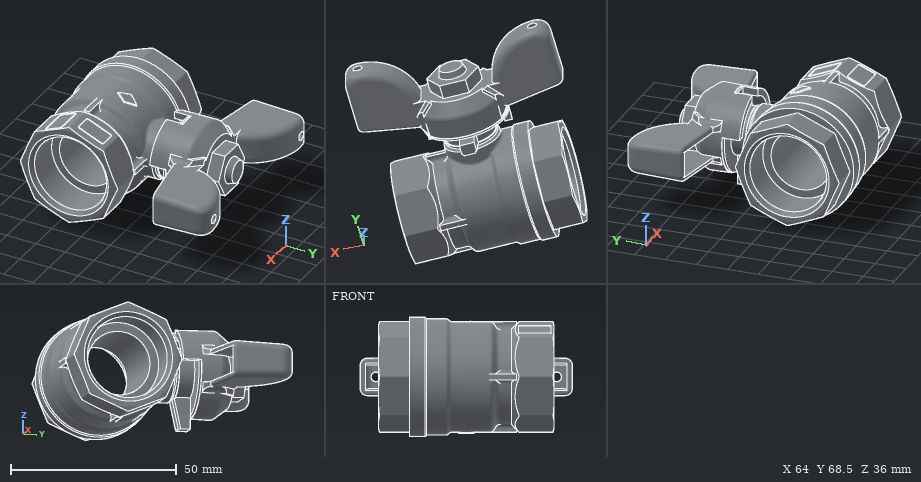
import cadquery as cq
import math


TOLERANCE = 0.001

BODY_END = 26.5
BODY_RADIUS = 16.7
OCTAGON_WIDTH = 31.0
FLAT_ANGLE = 360 / 16
OCTAGON_RADIUS = OCTAGON_WIDTH / 2 / math.cos(math.radians(FLAT_ANGLE))
OCTAGON_EDGE_FILLET = 0.7
OCTAGON_END_RADIUS = 15.4
OCTAGON_END_CHAMFER = 0.7
FLANGE_RADIUS = 18.0
FLANGE_START = -17.1
FLANGE_END = -12.4
COLLAR_RADIUS = 17.55
COLLAR_START = -11.9
COLLAR_END = -6.2
BARREL_START = -4.3

WAIST_RADIUS = 14.4
WAIST_START = 7.0
WAIST_FLOOR_START = 10.3
WAIST_FLOOR_END = 13.6
WAIST_END = 16.0
RIB_WIDTH = 1.8
RIB_FOOT_RADIUS = 1.5
RIB_COUNT = 4
RIB_END = 15.2

LEVEL_ENDS = [(1, 0), (1, 0)]

BORE_RADIUS = 9.7
PORT_RADIUS = 12.4
PORT_DEPTH = 12.0
PORT_MOUTH_RADIUS = 13.7
PORT_MOUTH_DEPTH = 1.3

PANEL_DEPTH = 0.2
PANEL_CORNER = 0.5
PLAIN_PANEL_ANGLE = FLAT_ANGLE
PLAIN_PANEL_X = 20.6
PLAIN_PANEL_LENGTH = 9.8
PLAIN_PANEL_WIDTH = 6.0
SIZE_PANEL_ANGLE = -FLAT_ANGLE
SIZE_PANEL_X = 20.65
SIZE_PANEL_LENGTH = 5.7
SIZE_PANEL_WIDTH = 9.2
DIAMOND_LENGTH = 4.5
DIAMOND_WIDTH = 7.0
DIAMOND_X = 1.35
DIAMOND_HEIGHT = 0.4

NECK_RADIUS = 8.85
NECK_SHOULDER = 19.0
NECK_TIP_RADIUS = 8.2
NECK_BASE = 12.0
NECK_FILLET = 0.8
NECK_SHOULDER_HEIGHT = 0.7

HUB_RADIUS = 13.5
HUB_TOP_RADIUS = 10.2
HUB_BOTTOM = 26.1
HUB_CONE_START = 32.8
HUB_TOP = 37.1
HUB_SHOULDER_FILLET = 1.5
SKIRT_RADIUS = 13.25
SKIRT_INNER_RADIUS = 11.0
SKIRT_BOTTOM = 20.5
SKIRT_EDGE_Z = 2.5
SKIRT_SLOT_WIDTH = 5.0
DISC_RADIUS = 13.1
BOSS_RADIUS = 7.8

TAB_TOP = 25.3
TAB_TIP_Z = -17.05
TAB_TIP_BOTTOM = 21.7
TAB_ROOT_Z = -7.5
TAB_ROOT_BOTTOM = 19.6
TAB_WIDTH = 4.6
TAB_CHAMFER = 0.6

NUT_WIDTH = 14.0
NUT_TOP = 41.5
STEM_RADIUS = 4.3
STEM_TIP_RADIUS = 3.6
STEM_TIP = 43.6

TOP = 50.45
WING_X = 32.0
WING_CORNER = 4.1
WING_ROOT_X = 8.0
WING_ARC_END_X = 11.1
WING_ARC_X = 18.9
WING_ARC_Y = 48.0
WING_BOTTOM_OUTER = 31.85
WING_BOTTOM_SLOPE = 0.168
WING_HALF_BOTTOM = 5.7
WING_HALF_TOP = 5.1
WING_FILLET = 2.3
WING_RIM_FILLET = 0.9
WING_WALL = 1.6
WING_HOLE_RADIUS = 1.4
WING_HOLE_X = 27.25

ROOT_START_X = 11.3
ROOT_END_X = 14.6
ROOT_HALF_WIDTH = 7.3
ROOT_BOTTOM = 26.5
ROOT_FLARE_TOP = 29.0


def turned_x(points):
    """Solid of revolution about X from (x, radius) points; closes along the axis."""
    outline = [(points[0][0], 0)] + points + [(points[-1][0], 0)]
    return cq.Workplane("XY").polyline(outline).close().revolve(360, (0, 0), (1, 0))


def turned_y(points):
    """Solid of revolution about Y from (radius, y) points; closes along the axis."""
    outline = [(0, points[0][1])] + points + [(0, points[-1][1])]
    return cq.Workplane("XY").polyline(outline).close().revolve(360, (0, 0), (0, 1))


def octagon(start, end):
    """Octagonal bar along X with its corners on the Y and Z axes."""
    bar = cq.Workplane("YZ", origin=(start, 0, 0)).polygon(8, 2 * OCTAGON_RADIUS).extrude(end - start)
    return bar.edges("|X").fillet(OCTAGON_EDGE_FILLET)


def body_blank():
    ends = turned_x([
        (-BODY_END, OCTAGON_END_RADIUS),
        (-BODY_END + OCTAGON_END_CHAMFER, FLANGE_RADIUS),
        (BODY_END - OCTAGON_END_CHAMFER, FLANGE_RADIUS),
        (BODY_END, OCTAGON_END_RADIUS),
    ])
    left = octagon(-BODY_END, FLANGE_START)
    right = octagon(WAIST_FLOOR_END, BODY_END)
    waist_cone = turned_x([
        (WAIST_FLOOR_END, WAIST_RADIUS),
        (WAIST_END, OCTAGON_RADIUS),
        (BODY_END, OCTAGON_RADIUS),
    ])
    shoulder_middle = ((COLLAR_END + BARREL_START) / 2, (COLLAR_RADIUS + BODY_RADIUS) / 2)
    barrel = (
        cq.Workplane("XY")
        .moveTo(FLANGE_START, 0)
        .lineTo(FLANGE_START, FLANGE_RADIUS)
        .lineTo(FLANGE_END, FLANGE_RADIUS)
        .lineTo(COLLAR_START, COLLAR_RADIUS)
        .lineTo(COLLAR_END, COLLAR_RADIUS)
        .spline([shoulder_middle, (BARREL_START, BODY_RADIUS)], tangents=LEVEL_ENDS, includeCurrent=True)
        .lineTo(WAIST_START, BODY_RADIUS)
        .spline([(WAIST_FLOOR_START, WAIST_RADIUS)], tangents=LEVEL_ENDS, includeCurrent=True)
        .lineTo(WAIST_FLOOR_END, WAIST_RADIUS)
        .lineTo(WAIST_FLOOR_END, 0)
        .close()
        .revolve(360, (0, 0), (1, 0))
    )
    return left.union(right.intersect(waist_cone)).intersect(ends).union(barrel)


def ribs():
    """Ribs with a flat crest and flared feet, capped at the barrel radius."""
    cap = turned_x([(WAIST_START, BODY_RADIUS), (RIB_END, BODY_RADIUS)])
    half = RIB_WIDTH / 2
    foot = half + RIB_FOOT_RADIUS
    floor = math.sqrt(WAIST_RADIUS**2 - foot**2)
    bend = RIB_FOOT_RADIUS * (1 - math.sqrt(0.5))
    rib = (
        cq.Workplane("YZ", origin=(WAIST_START, 0, 0))
        .moveTo(-half, FLANGE_RADIUS)
        .lineTo(-half, floor + RIB_FOOT_RADIUS)
        .threePointArc((-half - bend, floor + bend), (-foot, floor))
        .lineTo(-foot, PORT_MOUTH_RADIUS)
        .lineTo(foot, PORT_MOUTH_RADIUS)
        .lineTo(foot, floor)
        .threePointArc((half + bend, floor + bend), (half, floor + RIB_FOOT_RADIUS))
        .lineTo(half, FLANGE_RADIUS)
        .close()
        .extrude(RIB_END - WAIST_START)
    )
    bars = cq.Workplane("XY")
    for index in range(RIB_COUNT):
        bars = bars.union(rib.rotate((0, 0, 0), (1, 0, 0), index * 360 / RIB_COUNT))
    return bars.intersect(cap)


def passage():
    floor = BODY_END - PORT_DEPTH
    mouth = BODY_END - PORT_MOUTH_DEPTH
    return turned_x([
        (-BODY_END, PORT_MOUTH_RADIUS),
        (-mouth, PORT_RADIUS),
        (-floor, PORT_RADIUS),
        (-floor, BORE_RADIUS),
        (floor, BORE_RADIUS),
        (floor, PORT_RADIUS),
        (mouth, PORT_RADIUS),
        (BODY_END, PORT_MOUTH_RADIUS),
    ])


def flat_panel(angle, middle_x, length, width):
    """Shallow recess in an octagon flat whose normal is turned from +Z by angle, toward -Y."""
    panel = cq.Workplane("XY").box(length, width, 2 * PANEL_DEPTH).edges("|Z").fillet(PANEL_CORNER)
    return panel.translate((middle_x, 0, OCTAGON_WIDTH / 2)).rotate((0, 0, 0), (1, 0, 0), angle)


def diamond():
    corners = [
        (-DIAMOND_LENGTH / 2, 0),
        (0, DIAMOND_WIDTH / 2),
        (DIAMOND_LENGTH / 2, 0),
        (0, -DIAMOND_WIDTH / 2),
    ]
    base = cq.Workplane("XY", origin=(DIAMOND_X, 0, PORT_MOUTH_RADIUS))
    prism = base.polyline(corners).close().extrude(BODY_RADIUS)
    crest = BODY_RADIUS + DIAMOND_HEIGHT
    skin = turned_x([(-DIAMOND_WIDTH, crest), (DIAMOND_WIDTH, crest)])
    return prism.rotate((0, 0, 0), (1, 0, 0), -FLAT_ANGLE).intersect(skin)


def neck():
    return turned_y([
        (NECK_RADIUS, NECK_BASE),
        (NECK_RADIUS, NECK_SHOULDER),
        (NECK_TIP_RADIUS, NECK_SHOULDER + NECK_SHOULDER_HEIGHT),
        (NECK_TIP_RADIUS, SKIRT_BOTTOM),
        (BOSS_RADIUS, SKIRT_BOTTOM),
        (BOSS_RADIUS, HUB_BOTTOM),
    ])


def on_neck(edge):
    """True for an edge lying on the neck's side, where the neck meets the body."""
    points = [edge.positionAt(part) for part in (0.1, 0.5, 0.9)]
    around = all(abs(math.hypot(p.x, p.z) - NECK_RADIUS) < TOLERANCE for p in points)
    return around and NECK_BASE < edge.Center().y < FLANGE_RADIUS


def blend_neck(shape):
    seam = [edge for edge in shape.edges().vals() if on_neck(edge)]
    return shape.newObject(seam).fillet(NECK_FILLET)


def hub():
    """Tapered cap with a hollow skirt: the skirt stays only on the +Z side and has a middle slot."""
    cap = turned_y([
        (SKIRT_RADIUS, SKIRT_BOTTOM),
        (HUB_RADIUS, HUB_CONE_START),
        (HUB_TOP_RADIUS, HUB_TOP),
    ])
    shoulder = cq.selectors.BoxSelector(
        (-HUB_RADIUS, HUB_CONE_START - TOLERANCE, -HUB_RADIUS),
        (HUB_RADIUS, HUB_CONE_START + TOLERANCE, HUB_RADIUS),
    )
    cap = cap.edges(shoulder).fillet(HUB_SHOULDER_FILLET)
    height = HUB_BOTTOM - SKIRT_BOTTOM
    below = cq.Workplane("XZ", origin=(0, HUB_BOTTOM, 0))
    hollow = below.circle(SKIRT_INNER_RADIUS).extrude(height)
    far_side = below.center(0, SKIRT_EDGE_Z - WING_X).rect(2 * WING_X, 2 * WING_X).extrude(height)
    slot = below.center(0, HUB_RADIUS).rect(SKIRT_SLOT_WIDTH, 2 * HUB_RADIUS).extrude(height)
    disc = below.circle(DISC_RADIUS).extrude(HUB_BOTTOM - TAB_TOP)
    return cap.cut(hollow).cut(far_side).cut(slot).union(disc)


def stop_tab():
    outline = [
        (TAB_TOP, 0),
        (TAB_TOP, TAB_TIP_Z),
        (TAB_TIP_BOTTOM, TAB_TIP_Z),
        (TAB_ROOT_BOTTOM, TAB_ROOT_Z),
        (TAB_ROOT_BOTTOM, 0),
    ]
    tab = cq.Workplane("YZ").polyline(outline).close().extrude(TAB_WIDTH / 2, both=True)
    middle_y = (TAB_TIP_BOTTOM + TAB_ROOT_BOTTOM) / 2
    middle_z = (TAB_TIP_Z + TAB_ROOT_Z) / 2
    sloped_edges = cq.selectors.BoxSelector(
        (-TAB_WIDTH, middle_y - TAB_CHAMFER, middle_z - TAB_CHAMFER),
        (TAB_WIDTH, middle_y + TAB_CHAMFER, middle_z + TAB_CHAMFER),
    )
    return tab.edges(sloped_edges).chamfer(TAB_CHAMFER)


def nut_and_stem():
    nut = cq.Workplane("XZ", origin=(0, NUT_TOP, 0)).polygon(6, NUT_WIDTH / math.cos(math.pi / 6))
    nut = nut.extrude(NUT_TOP - HUB_TOP)
    tip = turned_y([(STEM_RADIUS, HUB_TOP), (STEM_RADIUS, NUT_TOP), (STEM_TIP_RADIUS, STEM_TIP)])
    return nut.union(tip)


def wing_shape(inset=0):
    """Tapered block of the +X wing; a positive inset draws it in on all sides but the open bottom."""
    outer = WING_X - inset
    top = TOP - inset
    corner = WING_CORNER - inset
    diagonal = corner * (1 - math.sqrt(0.5))
    shift = inset * math.sqrt(0.5)
    bottom = WING_BOTTOM_OUTER - 2 * inset
    bottom_root = bottom - WING_BOTTOM_SLOPE * (WING_X - WING_ROOT_X)
    root_top = HUB_TOP - 2 * inset
    outline = (
        cq.Workplane("XY")
        .moveTo(WING_ROOT_X, bottom_root)
        .lineTo(outer, bottom)
        .lineTo(outer, top - corner)
        .threePointArc((outer - diagonal, top - diagonal), (outer - corner, top))
        .threePointArc((WING_ARC_X + shift, WING_ARC_Y - shift), (WING_ARC_END_X, root_top))
        .lineTo(WING_ROOT_X, root_top)
        .close()
        .extrude(HUB_RADIUS, both=True)
    )
    slope = (WING_HALF_BOTTOM - WING_HALF_TOP) / (TOP - WING_BOTTOM_OUTER)
    half_bottom = WING_HALF_TOP + slope * (TOP - bottom_root) - inset
    half_top = WING_HALF_TOP - inset
    section = [(bottom_root, -half_bottom), (bottom_root, half_bottom), (TOP, half_top), (TOP, -half_top)]
    return cq.Workplane("YZ").polyline(section).close().extrude(WING_X).intersect(outline)


def wing_root():
    """Flare where the +X wing meets the hub: concave in plan and following the hub's profile."""
    half = WING_HALF_BOTTOM
    run = ROOT_END_X - ROOT_START_X
    rise = ROOT_HALF_WIDTH - half
    bend_x = ROOT_END_X - run * math.sqrt(0.5)
    bend_z = half + rise * (1 - math.sqrt(0.5))
    plan = (
        cq.Workplane("XZ", origin=(0, HUB_TOP, 0))
        .moveTo(WING_ROOT_X, -ROOT_HALF_WIDTH)
        .lineTo(ROOT_START_X, -ROOT_HALF_WIDTH)
        .threePointArc((bend_x, -bend_z), (ROOT_END_X, -half))
        .lineTo(ROOT_END_X, half)
        .threePointArc((bend_x, bend_z), (ROOT_START_X, ROOT_HALF_WIDTH))
        .lineTo(WING_ROOT_X, ROOT_HALF_WIDTH)
        .close()
        .extrude(HUB_TOP - ROOT_BOTTOM)
    )
    envelope = turned_y([
        (SKIRT_RADIUS, ROOT_BOTTOM),
        (ROOT_END_X, ROOT_FLARE_TOP),
        (ROOT_END_X, HUB_CONE_START),
        (WING_ARC_END_X, HUB_TOP),
    ])
    return plan.intersect(envelope)


def wing():
    """Rounded +X wing, hollow from below, with a drain hole through its top wall."""
    block = wing_shape()
    reach = WING_HALF_BOTTOM + WING_WALL
    inner = WING_HALF_TOP - WING_WALL
    contour_plus = cq.selectors.BoxSelector(
        (ROOT_START_X, WING_BOTTOM_OUTER, inner), (2 * WING_X, 2 * TOP, reach)
    )
    contour_minus = cq.selectors.BoxSelector(
        (ROOT_START_X, WING_BOTTOM_OUTER, -reach), (2 * WING_X, 2 * TOP, -inner)
    )
    block = block.edges(contour_plus + contour_minus).fillet(WING_FILLET)
    rim = cq.selectors.BoxSelector(
        (ROOT_START_X, ROOT_BOTTOM, -reach), (2 * WING_X, WING_BOTTOM_OUTER + TOLERANCE, reach)
    )
    block = block.edges(rim).fillet(WING_RIM_FILLET)
    hole = cq.Workplane("XZ", origin=(WING_HOLE_X, TOP, 0)).circle(WING_HOLE_RADIUS).extrude(TOP)
    return block.union(wing_root()).cut(wing_shape(WING_WALL)).cut(hole)


def handle():
    right = wing()
    winged = hub().union(right).union(right.mirror("YZ"))
    return winged.union(stop_tab()).union(nut_and_stem())


body = blend_neck(body_blank().union(ribs()).union(neck()))
body = body.union(diamond()).cut(passage())
body = body.cut(flat_panel(PLAIN_PANEL_ANGLE, PLAIN_PANEL_X, PLAIN_PANEL_LENGTH, PLAIN_PANEL_WIDTH))
body = body.cut(flat_panel(SIZE_PANEL_ANGLE, SIZE_PANEL_X, SIZE_PANEL_LENGTH, SIZE_PANEL_WIDTH))
result = body.union(handle())